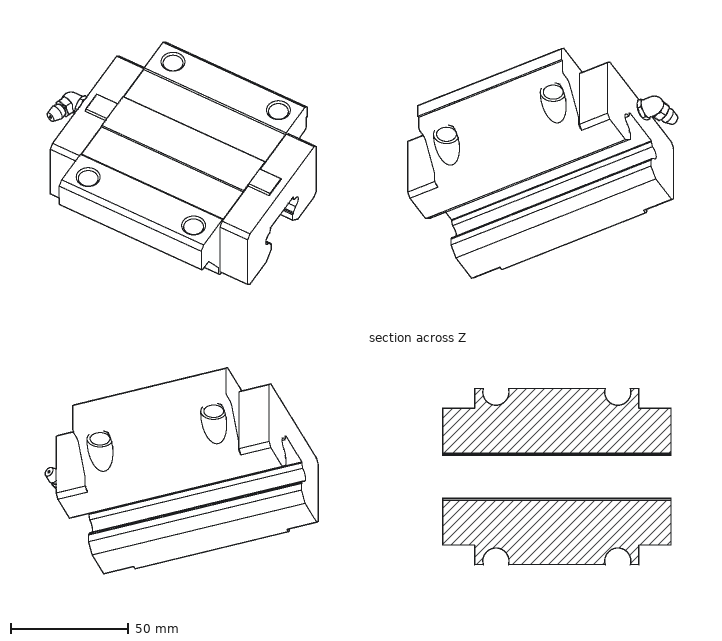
import cadquery as cq
import math


block_length = 70.0
block_width = 90.0
height = 36.0

flange_chamfer = 2.1
flange_bottom = 19.9
flange_edge_radius = 1.8
reference_step = 0.8
reference_step_height = 27.2
top_groove_depth = 0.4
groove_outer = 27.0
groove_outer_floor = 26.4
strip_top_half_width = 9.0
strip_root_half_width = 9.4
flank_top = 38.7
flank_root_radius = 3.0
foot_half_width = 30.2
foot_height = 5.9
foot_blend_radius = 2.2
foot_edge_radius = 2.2

hole_spacing_x = 52.0
hole_spacing_y = 72.0
hole_diameter = 8.4
countersink_diameter = 10.2
countersink_angle = 90
spotface_diameter = 11.0

cap_length = 10.4
seal_length = 3.3
seal_face_x = block_length / 2 + cap_length + seal_length
cap_width = 58.3
cap_height = 35.0
cap_chamfer = 2.0
pad_height = 35.9
pad_half_width = 4.6
pad_root_half_width = 5.3

slot_top = 19.8
slot_top_half_width = 9.5
slot_shoulder_half_width = 10.4
slot_top_edge = 19.3
ball_groove_radius = 3.1
ball_groove_y = 10.7
ball_groove_z = 13.9
ball_groove_exit_angle = -75
slot_lower_half_width = 9.6
slot_lower_top = 9.0
slot_lower_bottom = 8.1
throat_half_width = 9.1
throat_top = 7.9
slot_mouth_half_width = 13.3
slot_mouth_height = 4.0

nipple_height = 29.5
stem_diameter = 6.1
stem_length = 0.5
hex_chamfer_length = 0.3
base_hex_flats = 8.2
base_hex_length = 2.0
elbow_radius = 4.0
elbow_length = 4.2
head_tilt = 18
head_offset = 0.5
head_reach = 12.4
head_hex_flats = 7.4
head_hex_start = 2.2
head_hex_end = 5.7
neck_radius = 2.4
neck_end = 6.0
crown_start_radius = 2.7
crown_bulge_station = 7.2
crown_bulge_radius = 3.1
crown_end = 8.6
crown_radius = 3.3
tip_radius = 2.2
grease_hole_diameter = 1.1
grease_hole_depth = 2.2


def extrude_along_x(points, start, length):
    """Extrude a closed (Y, Z) outline along +X from the given X."""
    return cq.Workplane("YZ", origin=(start, 0, 0)).polyline(points).close().extrude(length)


def mirrored(half_points):
    """Complete a +Y half outline with its reversed mirror image."""
    return half_points + [(-y, z) for y, z in reversed(half_points)]


def fillet_along_x(solid, y, z, radius):
    """Round the lengthwise edge that passes through the given Y and Z."""
    return solid.edges(cq.selectors.NearestToPointSelector((0, y, z))).fillet(radius)


def make_block():
    half_width = block_width / 2
    step_y = half_width - reference_step
    groove_floor = height - top_groove_depth
    outline = mirrored([
        (strip_top_half_width, height),
        (strip_root_half_width, groove_floor),
        (groove_outer_floor, groove_floor),
        (groove_outer, height),
        (half_width - flange_chamfer, height),
        (half_width, height - flange_chamfer),
        (half_width, flange_bottom),
        (flank_top, flange_bottom),
        (foot_half_width, foot_height),
        (foot_half_width, 0),
    ])
    block = extrude_along_x(outline, -block_length / 2, block_length)

    relief = cq.Workplane("XY").box(
        block_length, reference_step, reference_step_height, centered=(True, False, False)
    )
    block = block.cut(relief.translate((0, step_y, 0)))

    for side, edge_y in ((1, step_y), (-1, half_width)):
        block = fillet_along_x(block, side * edge_y, flange_bottom, flange_edge_radius)
        block = fillet_along_x(block, side * flank_top, flange_bottom, flank_root_radius)
        block = fillet_along_x(block, side * foot_half_width, foot_height, foot_blend_radius)
        block = fillet_along_x(block, side * foot_half_width, 0, foot_edge_radius)
    return block


def cut_mounting_holes(block):
    """Countersunk through holes, with clearance for the screw heads cut into the flanks."""
    block = (
        block.faces(">Z").workplane(origin=(0, 0, height))
        .rarray(hole_spacing_x, hole_spacing_y, 2, 2)
        .cskHole(hole_diameter, countersink_diameter, countersink_angle)
    )
    clearance = (
        cq.Workplane("XY")
        .rarray(hole_spacing_x, hole_spacing_y, 2, 2)
        .circle(spotface_diameter / 2)
        .extrude(flange_bottom)
    )
    return block.cut(clearance)


def make_end(side):
    """End cap with its raised pad, and the seal outside it, at the +X (1) or -X (-1) end."""
    half_width = cap_width / 2
    outline = mirrored([
        (half_width - cap_chamfer, cap_height),
        (half_width, cap_height - cap_chamfer),
        (half_width, cap_chamfer),
        (half_width - cap_chamfer, 0),
    ])
    pad_outline = mirrored([(pad_half_width, pad_height), (pad_root_half_width, cap_height)])
    inner_x = block_length / 2
    cap = extrude_along_x(outline, inner_x, cap_length)
    pad = extrude_along_x(pad_outline, inner_x, cap_length)
    seal = extrude_along_x(outline, inner_x + cap_length, seal_length)
    pieces = [cap.union(pad), seal]
    return pieces if side > 0 else [piece.mirror("YZ") for piece in pieces]


def make_slot():
    """Rail slot with a round ball groove on each side, running through the whole length."""
    start_dy = slot_shoulder_half_width - ball_groove_y
    groove_start_z = ball_groove_z + math.sqrt(ball_groove_radius**2 - start_dy**2)
    exit_angle = math.radians(ball_groove_exit_angle)
    groove_exit_y = ball_groove_y + ball_groove_radius * math.cos(exit_angle)
    groove_exit_z = ball_groove_z + ball_groove_radius * math.sin(exit_angle)
    half_slot = (
        cq.Workplane("YZ", origin=(-seal_face_x, 0, 0))
        .moveTo(0, slot_top)
        .lineTo(slot_top_half_width, slot_top)
        .lineTo(slot_top_half_width, slot_top_edge)
        .lineTo(slot_shoulder_half_width, groove_start_z)
        .threePointArc((ball_groove_y + ball_groove_radius, ball_groove_z), (groove_exit_y, groove_exit_z))
        .lineTo(slot_lower_half_width, slot_lower_top)
        .lineTo(slot_lower_half_width, slot_lower_bottom)
        .lineTo(throat_half_width, throat_top)
        .lineTo(throat_half_width, slot_mouth_height)
        .lineTo(slot_mouth_half_width, 0)
        .lineTo(0, 0)
        .close()
        .extrude(2 * seal_face_x)
    )
    return half_slot.union(half_slot.mirror("XZ"))


def hexagon(plane, across_flats, length):
    """Hexagonal prism with corners on the local X axis and its end corners turned off to a cone."""
    across_corners = across_flats / math.cos(math.radians(30))
    prism = cq.Workplane(plane).polygon(6, across_corners).extrude(length)
    turned = (
        cq.Workplane(plane).circle(across_corners / 2).extrude(length)
        .edges().chamfer(hex_chamfer_length, (across_corners - across_flats) / 2)
    )
    return prism.intersect(turned)


def make_nipple():
    hex_x = -seal_face_x - stem_length
    elbow_x = hex_x - base_hex_length
    center_x = elbow_x - elbow_length
    dome_mid = elbow_radius * math.sqrt(0.5)
    elbow = (
        cq.Workplane("XZ", origin=(0, 0, nipple_height))
        .moveTo(-seal_face_x, 0)
        .lineTo(-seal_face_x, stem_diameter / 2)
        .lineTo(hex_x, stem_diameter / 2)
        .lineTo(hex_x, elbow_radius)
        .lineTo(center_x, elbow_radius)
        .threePointArc((center_x - dome_mid, dome_mid), (center_x - elbow_radius, 0))
        .close()
        .revolve(360, (0, 0, 0), (1, 0, 0))
    )
    base_plane = cq.Plane((hex_x, 0, nipple_height), (0, 0, 1), (-1, 0, 0))
    base = hexagon(base_plane, base_hex_flats, base_hex_length)

    tilt = math.radians(head_tilt)
    axis = (-math.sin(tilt), -math.cos(tilt), 0)
    across = (math.cos(tilt), -math.sin(tilt), 0)
    origin = (center_x + head_offset, 0, nipple_height)
    hex_origin = tuple(o + head_hex_start * d for o, d in zip(origin, axis))
    hex_plane = cq.Plane(hex_origin, across, axis)
    head_hex = hexagon(hex_plane, head_hex_flats, head_hex_end - head_hex_start)
    section_plane = cq.Plane(origin, across, (0, 0, -1))
    head = (
        cq.Workplane(section_plane)
        .lineTo(neck_radius, 0)
        .lineTo(neck_radius, neck_end)
        .lineTo(crown_start_radius, neck_end)
        .threePointArc((crown_bulge_radius, crown_bulge_station), (crown_radius, crown_end))
        .lineTo(tip_radius, head_reach)
        .lineTo(0, head_reach)
        .close()
        .revolve(360, (0, 0, 0), (0, 1, 0))
    )
    hole = (
        cq.Workplane(cq.Plane(origin, across, axis))
        .workplane(offset=head_reach - grease_hole_depth)
        .circle(grease_hole_diameter / 2)
        .extrude(grease_hole_depth)
    )
    return elbow.union(base).union(head_hex).union(head).cut(hole)


slot = make_slot()
result = cut_mounting_holes(make_block()).cut(slot)
for end_side in (-1, 1):
    for end_piece in make_end(end_side):
        result = result.union(end_piece.cut(slot), clean=False)
result = result.union(make_nipple(), clean=False)